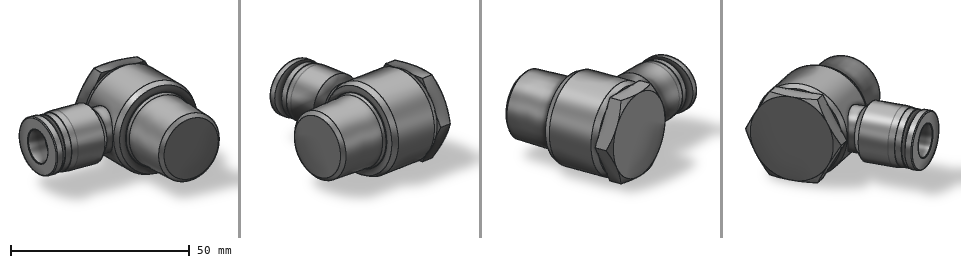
import cadquery as cq
import math


HEAD_FLATS = 25.4
HEAD_LENGTH = 4.9
HEAD_CORNERS = HEAD_FLATS / math.cos(math.radians(30))
HEAD_CHAMFER_ANGLE = 30
SHANK_DIAMETER = 22.0
COLLAR_DIAMETER = 22.4
COLLAR_END_X = 23.1
THREAD_START_X = 23.95
THREAD_START_DIAMETER = 21.45
THREAD_END_DIAMETER = 20.5
THREAD_CHAMFER = 1.1
BOLT_LENGTH = 39.0

RING_DIAMETER = 28.0
RING_LENGTH = 17.85
RING_CHAMFER_LENGTH = 1.85
RING_CHAMFER_DEPTH = 0.8
RING_END_X = HEAD_LENGTH + RING_LENGTH

PORT_X = HEAD_LENGTH + RING_LENGTH / 2
NECK_DIAMETER = 13.4
SLEEVE_DIAMETER = 17.6
RIM_DIAMETER = 16.9
SHOULDER_START = 16.0
SHOULDER_END = SHOULDER_START + (SLEEVE_DIAMETER - NECK_DIAMETER) / 2
CURVE_START = 27.15
CURVE_END = 29.15
CURVE_DEPTH = 0.2
SLEEVE_END = 31.25
RIM_CHAMFER = 0.15

COLLET_DIAMETER = 11.9
TUBE_DIAMETER = 9.75
COLLET_LENGTH = 5.75
FLANGE_WIDTH = 19.15
FLANGE_HEIGHT = 16.85
FLANGE_THICKNESS = 2.15
FLANGE_CHAMFER = 0.3
TUBE_CHAMFER = 0.2
PORT_END = 49.55 - HEAD_CORNERS / 2
COLLET_START = PORT_END - COLLET_LENGTH
TUBE_STOP = SHOULDER_END


def rod_x(diameter, start, end):
    """Cylinder on the bolt axis between two X positions."""
    return cq.Workplane("YZ", origin=(start, 0, 0)).circle(diameter / 2).extrude(end - start)


def port_plane(distance):
    """Workplane across the port axis, facing -Y."""
    return cq.Workplane("XZ", origin=(PORT_X, -distance, 0))


def rod_port(diameter, start, end):
    """Cylinder on the port axis between two distances from the bolt axis."""
    return port_plane(start).circle(diameter / 2).extrude(end - start)


def make_head():
    """Hexagonal head with corners on Y and a conical chamfer on its outer face."""
    hexagon = cq.Workplane("YZ").polygon(6, HEAD_CORNERS).extrude(HEAD_LENGTH)
    face_radius = HEAD_FLATS / 2
    cone_growth = HEAD_LENGTH / math.tan(math.radians(HEAD_CHAMFER_ANGLE))
    cone = (
        cq.Workplane("XY")
        .polyline([(0, 0), (0, face_radius), (HEAD_LENGTH, face_radius + cone_growth), (HEAD_LENGTH, 0)])
        .close()
        .revolve(360, (0, 0, 0), (1, 0, 0))
    )
    return hexagon.intersect(cone)


def make_bolt():
    """Head, shank through the ring, collar and tapered thread envelope."""
    profile = [
        (HEAD_LENGTH, 0),
        (HEAD_LENGTH, SHANK_DIAMETER / 2),
        (RING_END_X, SHANK_DIAMETER / 2),
        (RING_END_X, COLLAR_DIAMETER / 2),
        (COLLAR_END_X, COLLAR_DIAMETER / 2),
        (THREAD_START_X, THREAD_START_DIAMETER / 2),
        (BOLT_LENGTH - THREAD_CHAMFER, THREAD_END_DIAMETER / 2),
        (BOLT_LENGTH, THREAD_END_DIAMETER / 2 - THREAD_CHAMFER),
        (BOLT_LENGTH, 0),
    ]
    stem = cq.Workplane("XY").polyline(profile).close().revolve(360, (0, 0, 0), (1, 0, 0))
    return make_head().union(stem)


def make_ring():
    """Ring with a chamfer on both outer edges."""
    edge_radius = RING_DIAMETER / 2 - RING_CHAMFER_DEPTH
    profile = [
        (HEAD_LENGTH, 0),
        (HEAD_LENGTH, edge_radius),
        (HEAD_LENGTH + RING_CHAMFER_LENGTH, RING_DIAMETER / 2),
        (RING_END_X - RING_CHAMFER_LENGTH, RING_DIAMETER / 2),
        (RING_END_X, edge_radius),
        (RING_END_X, 0),
    ]
    return cq.Workplane("XY").polyline(profile).close().revolve(360, (0, 0, 0), (1, 0, 0))


def make_sleeve():
    """Neck, conical shoulder, sleeve with a rounded step, and rim."""
    radius = SLEEVE_DIAMETER / 2
    rim_radius = RIM_DIAMETER / 2
    return (
        cq.Workplane("XY", origin=(PORT_X, 0, 0))
        .moveTo(0, 0)
        .lineTo(NECK_DIAMETER / 2, 0)
        .lineTo(NECK_DIAMETER / 2, -SHOULDER_START)
        .lineTo(radius, -SHOULDER_END)
        .lineTo(radius, -CURVE_START)
        .tangentArcPoint((radius - CURVE_DEPTH, -CURVE_END), relative=False)
        .lineTo(rim_radius, -CURVE_END)
        .lineTo(rim_radius, -SLEEVE_END + RIM_CHAMFER)
        .lineTo(rim_radius - RIM_CHAMFER, -SLEEVE_END)
        .lineTo(0, -SLEEVE_END)
        .close()
        .revolve(360, (0, 0, 0), (0, 1, 0))
    )


def make_housing():
    """Ring and sleeve in one piece, bored for the bolt, the collet and the tube."""
    bolt_bore = rod_x(SHANK_DIAMETER, HEAD_LENGTH, RING_END_X)
    collet_socket = rod_port(COLLET_DIAMETER, COLLET_START, SLEEVE_END)
    tube_bore = rod_port(TUBE_DIAMETER, TUBE_STOP, COLLET_START)
    return make_ring().union(make_sleeve()).cut(bolt_bore).cut(collet_socket).cut(tube_bore)


def make_collet():
    """Tubular collet with an oval push flange."""
    flange = (
        port_plane(PORT_END - FLANGE_THICKNESS)
        .ellipse(FLANGE_WIDTH / 2, FLANGE_HEIGHT / 2)
        .extrude(FLANGE_THICKNESS)
        .faces("<Y")
        .chamfer(FLANGE_CHAMFER)
    )
    stem = rod_port(COLLET_DIAMETER, COLLET_START, PORT_END - FLANGE_THICKNESS)
    tube_hole = rod_port(TUBE_DIAMETER, COLLET_START, PORT_END)
    collet = flange.union(stem).cut(tube_hole)
    return collet.faces("<Y").edges("%CIRCLE").chamfer(TUBE_CHAMFER)


bolt = make_bolt()
housing = make_housing()
collet = make_collet()

result = cq.Compound.makeCompound([bolt.val(), housing.val(), collet.val()])